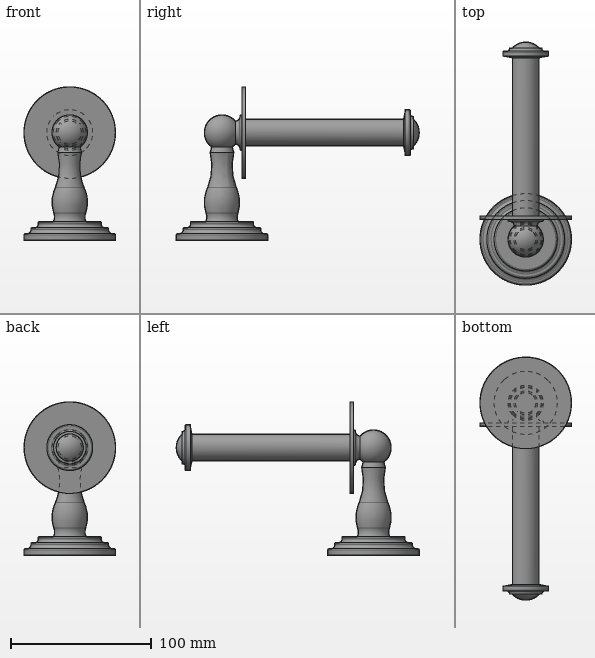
import cadquery as cq
import math

plate_radius = 65.0 / 2
overall_length = 172.5
overall_height = 109.0
arm_height = overall_height - plate_radius
arm_tip = overall_length - plate_radius

rim_top = 4.8
rim_round = 1.0
middle_radius = 27.6
middle_edge = 7.8
middle_top = 9.1
middle_round = 1.0
upper_radius = 22.5
upper_edge = 11.7
base_top = 13.5
lower_cove_width = 2.6
upper_cove_width = 2.0
upper_round = 1.0

foot_radius = 11.5
foot_waist_radius = 10.9
foot_waist_height = 16.5
belly_bottom_radius = 11.4
belly_bottom = 19.5
belly_radius = 12.6
belly_height = 28.0
belly_top_radius = 10.2
belly_top = 37.6
waist_radius = 7.2
waist_height = 51.8
collar_radius = 8.5
collar_height = 62.5
neck_radius = 7.5
neck_height = 66.2
ball_radius = 12.6

arm_neck_radius = 8.3
arm_neck_start = 9.7
flange_radius = 12.6
flange_start = 12.8
flange_round = 1.0
disc_start = 14.1
disc_thickness = 2.6
rod_radius = 9.5

cap_radius = 32.6 / 2
dome_radius = 9.7
dome_depth = 4.3
cap_step_radius = 11.5
cap_cove_radius = 13.0
cap_front_depth = 6.4
cap_round = 0.9
cap_back_depth = 10.0
cap_flare_radius = 12.6
cap_flare_depth = 10.5
cap_hub_depth = 11.2


def cove(profile, start, end):
    """Add a hollow arc from a flat ledge up to a smaller edge."""
    diagonal = math.sqrt(0.5)
    middle = (
        start[0] + (end[0] - start[0]) * diagonal,
        start[1] + (end[1] - start[1]) * (1 - diagonal),
    )
    return profile.threePointArc(middle, end)


def round_corner(profile, radius, top, size):
    """Round an outer corner from the side wall at `radius` to the face at `top`."""
    inset = size * (1 - math.sqrt(0.5))
    return profile.lineTo(radius, top - size).threePointArc(
        (radius - inset, top - inset), (radius - size, top)
    )


def turn(profile):
    """Close a (radius, height) profile to the Z axis and revolve it."""
    return profile.close().revolve(360, (0, 0), (0, 1))


def make_base():
    profile = cq.Workplane("XZ").lineTo(plate_radius, 0)
    profile = round_corner(profile, plate_radius, rim_top, rim_round)
    profile = profile.lineTo(middle_radius + lower_cove_width, rim_top)
    profile = cove(profile, (middle_radius + lower_cove_width, rim_top), (middle_radius, middle_edge))
    profile = round_corner(profile, middle_radius, middle_top, middle_round)
    profile = profile.lineTo(upper_radius + upper_cove_width, middle_top)
    profile = cove(profile, (upper_radius + upper_cove_width, middle_top), (upper_radius, upper_edge))
    profile = round_corner(profile, upper_radius, base_top, upper_round)
    return turn(profile.lineTo(0, base_top))


def make_post():
    profile = (
        cq.Workplane("XZ")
        .lineTo(foot_radius, 0)
        .lineTo(foot_radius, base_top)
        .threePointArc((foot_waist_radius, foot_waist_height), (belly_bottom_radius, belly_bottom))
        .threePointArc((belly_radius, belly_height), (belly_top_radius, belly_top))
        .threePointArc((waist_radius, waist_height), (collar_radius, collar_height))
        .lineTo(neck_radius, neck_height)
        .lineTo(neck_radius, arm_height)
        .lineTo(0, arm_height)
    )
    ball = cq.Workplane("XY").sphere(ball_radius).translate((0, 0, arm_height))
    return turn(profile).union(ball)


def make_arm():
    """Turn the arm about Z, then lay it along +Y at the height of the ball."""
    disc_end = disc_start + disc_thickness
    cap_back = arm_tip - cap_back_depth
    cap_hub = arm_tip - cap_hub_depth
    cap_front = arm_tip - cap_front_depth
    dome_base = arm_tip - dome_depth
    dome_curve = (dome_radius**2 + dome_depth**2) / (2 * dome_depth)
    dome_half_angle = math.asin(dome_radius / dome_curve) / 2
    dome_middle = (
        dome_curve * math.sin(dome_half_angle),
        arm_tip - dome_curve * (1 - math.cos(dome_half_angle)),
    )
    diagonal = math.sqrt(0.5)
    neck_flare = flange_radius - flange_round - arm_neck_radius
    neck_middle = (
        arm_neck_radius + neck_flare * (1 - diagonal),
        arm_neck_start + (flange_start - arm_neck_start) * diagonal,
    )
    flange_inset = flange_round * (1 - diagonal)

    profile = (
        cq.Workplane("XZ")
        .lineTo(arm_neck_radius, 0)
        .lineTo(arm_neck_radius, arm_neck_start)
        .threePointArc(neck_middle, (flange_radius - flange_round, flange_start))
        .threePointArc(
            (flange_radius - flange_inset, flange_start + flange_inset),
            (flange_radius, flange_start + flange_round),
        )
        .lineTo(flange_radius, disc_start)
        .lineTo(plate_radius, disc_start)
        .lineTo(plate_radius, disc_end)
        .lineTo(rod_radius, disc_end)
        .lineTo(rod_radius, cap_hub)
        .threePointArc((cap_flare_radius, arm_tip - cap_flare_depth), (cap_radius, cap_back))
    )
    profile = round_corner(profile, cap_radius, cap_front, cap_round)
    profile = profile.lineTo(cap_cove_radius, cap_front)
    profile = cove(profile, (cap_cove_radius, cap_front), (cap_step_radius, dome_base))
    profile = profile.lineTo(dome_radius, dome_base).threePointArc(dome_middle, (0, arm_tip))
    arm = turn(profile)
    return arm.rotate((0, 0, 0), (1, 0, 0), -90).translate((0, 0, arm_height))


result = make_base().union(make_post()).union(make_arm())